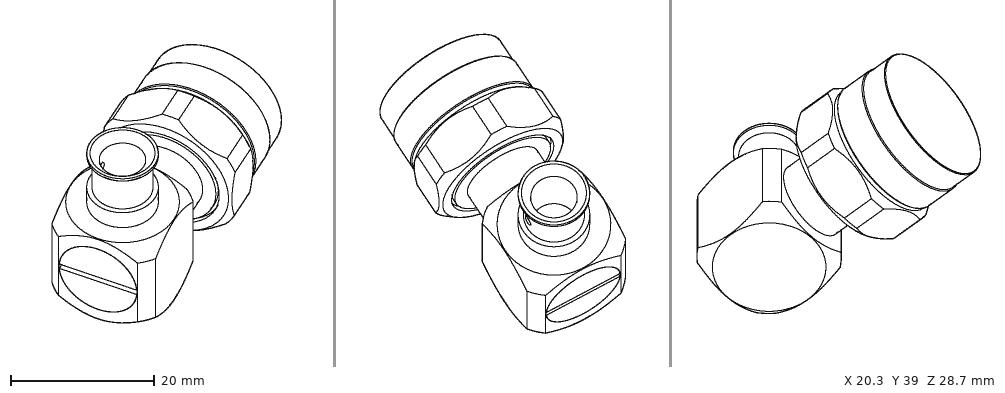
import cadquery as cq
import math


overall_length = 39.05

block_side = 16.0
half_block = block_side / 2
block_corner_radius = 10.07
block_end_face_radius = 7.93

cap_radius = 5.97
cap_gap = 0.05
slot_width = 0.85
slot_depth = 1.0

entry_top = 17.73
collar_radius = 5.0
collar_top = 10.97
tube_radius = 4.25
lip_height = 0.45
bore_radius = 3.25
mouth_radius = 4.53
hole_radius = 0.75
hole_height = 13.47

neck_radius = 5.75
nut_front = 14.0
nut_rear = 21.45
nut_flat_distance = 10.07
nut_corner_radius = 10.97
nut_tilt = 0.8
nut_front_face_radius = 9.72
barrel_radius = 9.9
barrel_end = overall_length - half_block
barrel_edge_chamfer = 0.1
band_radius = 10.07
band_start = 22.05
band_end = 27.0
seat_radius = 8.28
insert_radius = 7.77
seat_depth = 0.8


def cylinder_y(radius, start, end):
    """Solid cylinder on the Y axis between two Y positions."""
    return cq.Workplane("XZ", origin=(0, start, 0)).circle(radius).extrude(start - end)


def ring_groove(outer_radius, inner_radius, start, depth):
    """Ring-shaped cutter on the Y axis, going in the +Y direction."""
    outer = cylinder_y(outer_radius, start, start + depth)
    return outer.cut(cylinder_y(inner_radius, start, start + depth))


def make_block():
    """Cube whose corners are turned round about Z and coned at 45 degrees at both ends."""
    cube = cq.Workplane("XY").box(block_side, block_side, block_side)
    cone_height = block_corner_radius - block_end_face_radius
    turned = (
        cq.Workplane("XY", origin=(0, 0, -half_block))
        .circle(block_corner_radius)
        .extrude(block_side)
        .edges("%CIRCLE")
        .chamfer(cone_height)
    )
    return cube.intersect(turned)


def make_cap_cut():
    """Thin gap around the cap, and the screwdriver slot across it."""
    front = -half_block
    cap_seat_radius = cap_radius + cap_gap
    gap = ring_groove(cap_seat_radius, cap_radius, front, slot_depth)
    slot = cq.Workplane("XY", origin=(0, front + slot_depth / 2, 0)).box(
        2 * cap_seat_radius, slot_depth, slot_width
    )
    return gap.union(slot.intersect(cylinder_y(cap_seat_radius, front, front + slot_depth)))


def make_entry():
    """Collar, tube and flared lip, turned about Z with the bore left open."""
    lip_bottom = entry_top - lip_height
    flare_bottom = lip_bottom - (collar_radius - tube_radius)
    mouth_bottom = entry_top - (mouth_radius - bore_radius)
    return (
        cq.Workplane("XZ")
        .moveTo(0, 0)
        .lineTo(collar_radius, 0)
        .lineTo(collar_radius, collar_top)
        .lineTo(tube_radius, collar_top)
        .lineTo(tube_radius, flare_bottom)
        .lineTo(collar_radius, lip_bottom)
        .lineTo(collar_radius, entry_top)
        .lineTo(mouth_radius, entry_top)
        .lineTo(bore_radius, mouth_bottom)
        .lineTo(bore_radius, half_block)
        .lineTo(0, half_block)
        .close()
        .revolve(360, (0, 0, 0), (0, 1, 0))
    )


def make_side_hole():
    """Radial hole through the -X wall of the tube."""
    return (
        cq.Workplane("YZ", origin=(-collar_radius, 0, hole_height))
        .circle(hole_radius)
        .extrude(collar_radius)
    )


def make_nut():
    """Hexagon with a corner close to straight up, its corners turned round and coned at 45 degrees."""
    hexagon_diameter = 2 * nut_flat_distance / math.cos(math.pi / 6)
    hexagon = (
        cq.Workplane("XZ", origin=(0, nut_front, 0))
        .transformed(rotate=(0, 0, 90 - nut_tilt))
        .polygon(6, hexagon_diameter)
        .extrude(nut_front - nut_rear)
    )
    turned = (
        cylinder_y(nut_corner_radius, nut_front, nut_rear)
        .faces("<Y")
        .chamfer(nut_corner_radius - nut_front_face_radius)
        .faces(">Y")
        .chamfer(nut_corner_radius - barrel_radius)
    )
    return hexagon.intersect(turned)


def make_coupling():
    """Neck, nut and barrel with its raised band."""
    neck = cylinder_y(neck_radius, 0, nut_rear)
    barrel = cylinder_y(barrel_radius, nut_rear, barrel_end).faces(">Y").chamfer(barrel_edge_chamfer)
    band = cylinder_y(band_radius, band_start, band_end).edges().chamfer(band_radius - barrel_radius)
    seat = ring_groove(seat_radius, insert_radius, nut_front, seat_depth)
    return make_nut().cut(seat).union(barrel).union(band).union(neck)


result = (
    make_block()
    .cut(make_cap_cut())
    .union(make_coupling())
    .union(make_entry())
    .cut(make_side_hole())
)